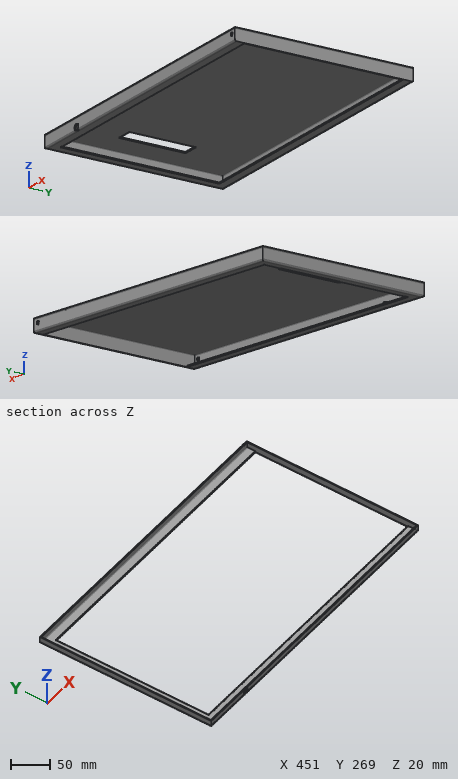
import cadquery as cq

length = 451.0
width = 269.0
height = 20.0
thickness = 2.0
bend_radius = 2.3
inner_radius = bend_radius - thickness
lip_width = 15.0

slot_length = 100.0
slot_width = 25.0
slot_from_end = 43.7

cable_hole_diameter = 9.0
cable_hole_from_end = 75.5
cable_hole_height = 5.0
pivot_hole_diameter = 4.5
pivot_hole_from_end = 8.0
pivot_hole_height = 11.7


def rounded_block(inset, radius):
    """Block inset from the outer faces, with every top and bottom edge rounded except the lower +X edge."""
    block = cq.Workplane("XY").box(length - 2 * inset, width - 2 * inset, height - 2 * inset)
    block = block.edges("|X or |Y").edges("not (>X and <Z)").fillet(radius)
    return block.translate((0, 0, height / 2))


def wall_hole(x, z, diameter, start_y, depth):
    """Cylinder along +Y for cutting a round hole in the long walls."""
    return cq.Workplane(
        cq.Solid.makeCylinder(diameter / 2, depth, cq.Vector(x, start_y, z), cq.Vector(0, 1, 0))
    )


shell = rounded_block(0, bend_radius).cut(rounded_block(thickness, inner_radius))

opening_start = -length / 2 + lip_width
opening_end = length / 2 - thickness
underside_opening = cq.Workplane("XY").box(
    opening_end - opening_start, width - 2 * lip_width, height / 2, centered=(False, True, False)
).translate((opening_start, 0, 0))

slot_x = -length / 2 + slot_from_end + slot_width / 2
slot = cq.Workplane("XY").box(slot_width, slot_length, 2 * height).translate((slot_x, 0, height / 2))

cable_hole = wall_hole(
    -length / 2 + cable_hole_from_end, cable_hole_height, cable_hole_diameter,
    -width / 2, bend_radius,
)
pivot_hole = wall_hole(
    length / 2 - pivot_hole_from_end, pivot_hole_height, pivot_hole_diameter,
    -width / 2, width,
)

result = shell.cut(underside_opening).cut(slot).cut(cable_hole).cut(pivot_hole)